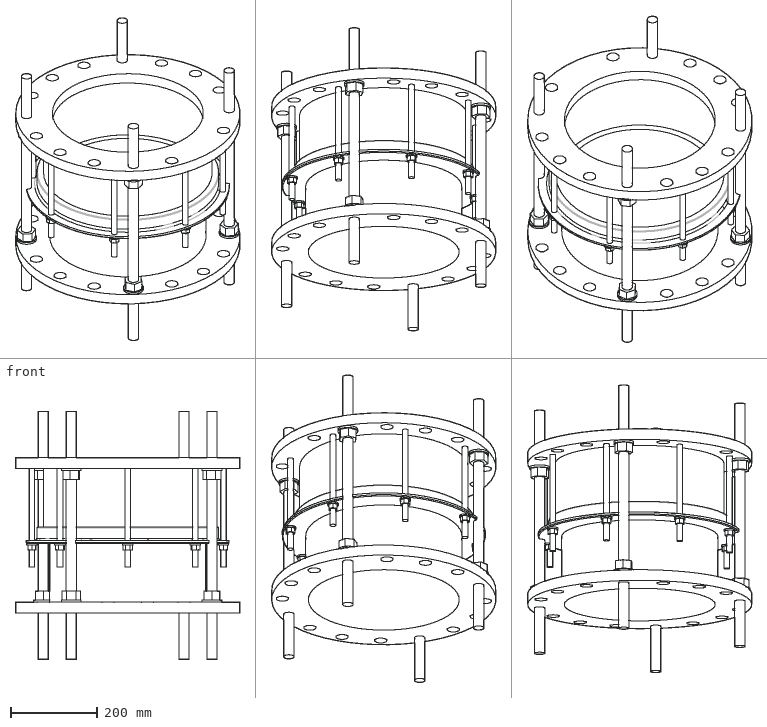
import cadquery as cq
import math


flange_diameter = 520.0
flange_thickness = 25.5
flange_outer_face = 180.0
flange_inner_face = flange_outer_face - flange_thickness
bore_radius = 175.0
bolt_circle_radius = 235.0
bolt_hole_diameter = 28.0
bolt_positions = 16
bolt_pitch = 360 / bolt_positions
blind_position = 0

upper_pipe_outer_radius = 195.5
upper_pipe_inner_radius = 190.5
lower_pipe_outer_radius = 181.0
lower_pipe_top = 4.5
socket_radius = 211.0
socket_top = 19.0
socket_edge_round = 2.0

gland_radius = 236.0
gland_top = -12.0
gland_thickness = 7.0
gland_bottom = gland_top - gland_thickness
gland_root_fillet = 5.0
gland_edge_chamfer = 2.5

tie_rod_diameter = 24.0
tie_rod_length = 575.0
tie_rod_positions = (2, 6, 10, 14)
tie_nut_across_flats = 37.0
tie_nut_height = 20.5
tie_washer_diameter = 46.0
tie_washer_thickness = 4.5
upper_nut_turn = bolt_pitch

stud_count = 8
stud_circle_radius = 222.0
stud_diameter = 13.0
stud_bottom = -73.5
stud_nut_across_flats = 19.0
stud_nut_height = 11.0
stud_washer_diameter = 25.0
stud_washer_thickness = 3.5


def bolt_angle(position):
    """Angle of a bolt position; the positions straddle the X and Y axes."""
    return (position + 0.5) * bolt_pitch


def polar_point(radius, angle):
    turn = math.radians(angle)
    return (radius * math.cos(turn), radius * math.sin(turn))


def cylinder(radius, bottom, top, center=(0, 0)):
    return cq.Workplane("XY", origin=(*center, bottom)).circle(radius).extrude(top - bottom)


def tube(outer_radius, inner_radius, bottom, top):
    return (
        cq.Workplane("XY", origin=(0, 0, bottom))
        .circle(outer_radius)
        .circle(inner_radius)
        .extrude(top - bottom)
    )


def hex_nut(across_flats, bottom, height, center, corner_angle):
    """Hexagonal prism with one corner pointing along corner_angle."""
    corner_diameter = across_flats / math.cos(math.radians(30))
    return (
        cq.Workplane("XY", origin=(*center, bottom))
        .transformed(rotate=(0, 0, corner_angle))
        .polygon(6, corner_diameter)
        .extrude(height)
    )


def flange(bottom, drilled_positions):
    holes = [polar_point(bolt_circle_radius, bolt_angle(p)) for p in drilled_positions]
    ring = tube(flange_diameter / 2, bore_radius, bottom, bottom + flange_thickness)
    cutter = (
        cq.Workplane("XY", origin=(0, 0, bottom))
        .pushPoints(holes)
        .circle(bolt_hole_diameter / 2)
        .extrude(flange_thickness)
    )
    return ring.cut(cutter)


def gland_and_socket():
    """Revolved ring: the socket wall flows through a fillet into the gland disc."""
    fillet_radius = socket_radius + gland_root_fillet
    round_inset = socket_edge_round * (1 - math.sqrt(0.5))
    fillet_inset = gland_root_fillet * (1 - math.sqrt(0.5))
    return (
        cq.Workplane("XZ")
        .moveTo(upper_pipe_inner_radius, gland_bottom)
        .lineTo(gland_radius - gland_edge_chamfer, gland_bottom)
        .lineTo(gland_radius, gland_bottom + gland_edge_chamfer)
        .lineTo(gland_radius, gland_top)
        .lineTo(fillet_radius, gland_top)
        .threePointArc(
            (socket_radius + fillet_inset, gland_top + fillet_inset),
            (socket_radius, gland_top + gland_root_fillet),
        )
        .lineTo(socket_radius, socket_top - socket_edge_round)
        .threePointArc(
            (socket_radius - round_inset, socket_top - round_inset),
            (socket_radius - socket_edge_round, socket_top),
        )
        .lineTo(upper_pipe_inner_radius, socket_top)
        .close()
        .revolve(360, (0, 0, 0), (0, 1, 0))
    )


def tie_rod(position):
    """Full-length rod with a washer and nut on the inner side of each flange."""
    angle = bolt_angle(position)
    center = polar_point(bolt_circle_radius, angle)
    corner_angle = angle - bolt_angle(tie_rod_positions[0])
    washer_radius = tie_washer_diameter / 2
    washer_face = flange_inner_face - tie_washer_thickness
    nut_face = washer_face - tie_nut_height
    rod = cylinder(tie_rod_diameter / 2, -tie_rod_length / 2, tie_rod_length / 2, center)
    fittings = (
        cylinder(washer_radius, washer_face, flange_inner_face, center),
        cylinder(washer_radius, -flange_inner_face, -washer_face, center),
        hex_nut(tie_nut_across_flats, nut_face, tie_nut_height, center, corner_angle + upper_nut_turn),
        hex_nut(tie_nut_across_flats, -washer_face, tie_nut_height, center, corner_angle),
    )
    for fitting in fittings:
        rod = rod.union(fitting)
    return rod


def gland_stud(index):
    """Stud hanging from the upper flange, clamped under the gland by a nut."""
    angle = index * 360 / stud_count
    center = polar_point(stud_circle_radius, angle)
    washer_bottom = gland_bottom - stud_washer_thickness
    nut_bottom = washer_bottom - stud_nut_height
    stud = cylinder(stud_diameter / 2, stud_bottom, flange_inner_face, center)
    washer = cylinder(stud_washer_diameter / 2, washer_bottom, gland_bottom, center)
    nut = hex_nut(stud_nut_across_flats, nut_bottom, stud_nut_height, center, angle + 90)
    return stud.union(washer).union(nut)


open_positions = [p for p in range(bolt_positions) if p not in tie_rod_positions]
upper_open_positions = [p for p in open_positions if p != blind_position]
upper_flange = flange(flange_inner_face, upper_open_positions)
lower_flange = flange(-flange_outer_face, open_positions)

upper_pipe = tube(upper_pipe_outer_radius, upper_pipe_inner_radius, gland_bottom, flange_inner_face)
lower_pipe = tube(lower_pipe_outer_radius, bore_radius, -flange_inner_face, lower_pipe_top)
seal = tube(upper_pipe_inner_radius, bore_radius, gland_bottom, lower_pipe_top)

result = upper_flange
for piece in (upper_pipe, gland_and_socket(), seal, lower_pipe, lower_flange):
    result = result.union(piece)
for position in tie_rod_positions:
    result = result.union(tie_rod(position))
for index in range(stud_count):
    result = result.union(gland_stud(index))